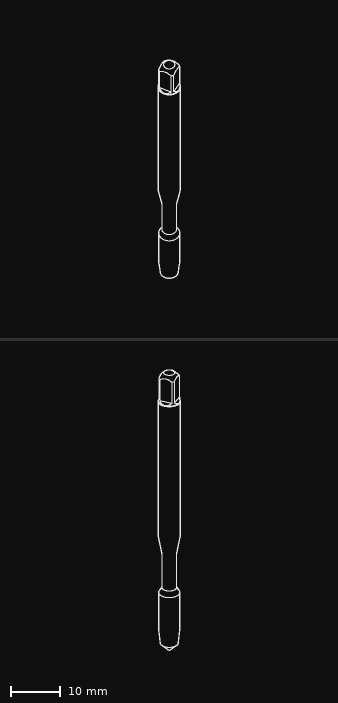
import cadquery as cq

total_length = 64.4

head_diameter = 4.25
lead_diameter = 3.7
tip_height = lead_diameter / 2
lead_top = 4.75
neck_diameter = 2.95
head_top = 14.7
back_chamfer_height = 1.15

shank_diameter = 4.5
neck_top = 22.4
cone_top = 26.75

drive_diameter = 4.3
drive_step = (shank_diameter - drive_diameter) / 2
square_width = 3.4
square_length = 5.9
end_face_diameter = 2.25
end_chamfer = (drive_diameter - end_face_diameter) / 2
square_bottom = total_length - square_length
runout_width = (shank_diameter - square_width) / 2
runout_height = 0.7
drive_step_bottom = square_bottom - runout_height


def revolve_profile(points):
    """Revolve a closed (radius, height) outline about the Z axis."""
    outline = cq.Workplane("XZ").polyline(points).close()
    return outline.revolve(360, (0, 0, 0), (0, 1, 0))


def make_head():
    """Threaded head from the point up to the neck."""
    return revolve_profile([
        (0, 0),
        (lead_diameter / 2, tip_height),
        (head_diameter / 2, lead_top),
        (head_diameter / 2, head_top - back_chamfer_height),
        (neck_diameter / 2, head_top),
        (0, head_top),
    ])


def make_round_shank():
    """Turned shank before the square is milled."""
    return revolve_profile([
        (0, head_top),
        (neck_diameter / 2, head_top),
        (neck_diameter / 2, neck_top),
        (shank_diameter / 2, cone_top),
        (shank_diameter / 2, drive_step_bottom),
        (drive_diameter / 2, drive_step_bottom + drive_step),
        (drive_diameter / 2, total_length - end_chamfer),
        (end_face_diameter / 2, total_length),
        (0, total_length),
    ])


def make_flat_cutter():
    """Cutter for the flat on the +X side, with its sloped run-out."""
    flat = square_width / 2
    outer = flat + 2 * runout_width
    bottom = square_bottom - 2 * runout_height
    profile = [
        (flat, total_length),
        (flat, square_bottom),
        (outer, bottom),
        (outer, total_length),
    ]
    return cq.Workplane("XZ").polyline(profile).close().extrude(shank_diameter, both=True)


def make_shank():
    """Shank with four flats forming the square drive."""
    shank = make_round_shank()
    flat_cutter = make_flat_cutter()
    flat_count = 4
    for index in range(flat_count):
        angle = index * 360 / flat_count
        shank = shank.cut(flat_cutter.rotate((0, 0, 0), (0, 0, 1), angle))
    return shank


head = make_head()
shank = make_shank()

result = cq.Compound.makeCompound([head.val(), shank.val()])